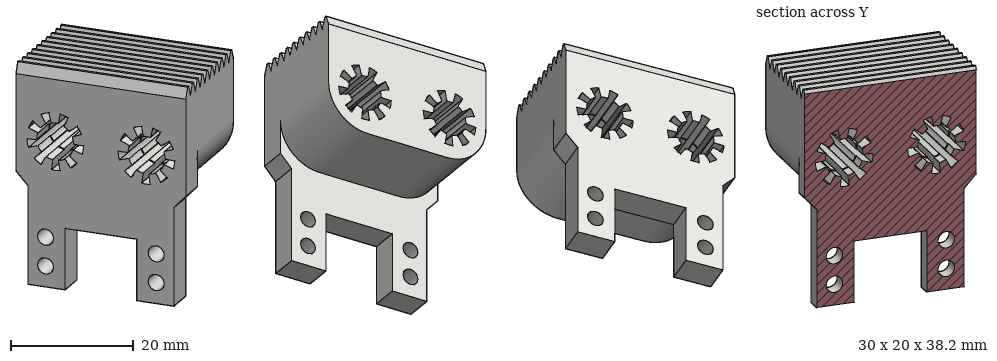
import cadquery as cq
import math

width = 30.0
depth = 20.0
height = 38.2

tooth_count = 10
tooth_pitch = depth / tooth_count
tooth_height = 1.85
tooth_crest = 0.5
rack_root_z = height - tooth_height

plate_thickness = 5.0
leg_span = 25.8
taper_top_z = 19.45
taper_bottom_z = 17.2
notch_width = 12.6
notch_height = 10.7

hole_diameter = 2.8
hole_spacing_x = 19.52
hole_rows_z = (3.65, 8.67)

axis_z = 25.55
edge_radius = width / 4

opening_spacing = 16.12
opening_radius = 5.0
opening_teeth = 9
opening_turn = math.radians(-1.3)
root_half_width = 1.0
shoulder_radius = 3.5
shoulder_half_width = 0.7
plate_tip_radius = 3.25
plate_tip_half_width = 0.57
block_tip_radius = 3.1
block_tip_half_width = 0.5


def extrude_back(sketch, length):
    """Extrude an XZ sketch from the front face toward +Y."""
    return sketch.extrude(-length)


def make_plate():
    half_notch = notch_width / 2
    half_legs = leg_span / 2
    half_width = width / 2
    right_side = [
        (half_notch, notch_height),
        (half_notch, 0),
        (half_legs, 0),
        (half_legs, taper_bottom_z),
        (half_width, taper_top_z),
        (half_width, rack_root_z),
    ]
    left_side = [(-x, z) for x, z in reversed(right_side)]
    return extrude_back(cq.Workplane("XZ").polyline(right_side + left_side).close(), plate_thickness)


def make_block():
    half_width = width / 2
    bottom_z = axis_z - edge_radius
    outline = (
        cq.Workplane("XZ")
        .moveTo(-half_width, rack_root_z)
        .lineTo(-half_width, axis_z)
        .radiusArc((edge_radius - half_width, bottom_z), -edge_radius)
        .lineTo(half_width - edge_radius, bottom_z)
        .radiusArc((half_width, axis_z), -edge_radius)
        .lineTo(half_width, rack_root_z)
        .close()
    )
    return extrude_back(outline, depth)


def make_rack():
    flank = (tooth_pitch - tooth_crest) / 2
    points = [(0, axis_z), (0, rack_root_z)]
    for i in range(tooth_count):
        start = i * tooth_pitch
        points.append((start + flank, height))
        points.append((start + flank + tooth_crest, height))
        points.append((start + tooth_pitch, rack_root_z))
    points.append((depth, axis_z))
    return cq.Workplane("YZ").polyline(points).close().extrude(width / 2, both=True)


def polar(radius, angle):
    """Point at an angle in radians measured clockwise from +Z."""
    return (radius * math.sin(angle), radius * math.cos(angle))


def opening_cutter(tooth_profile, turn, length):
    """Toothed prism; the profile lists (half width, radius) along a tooth from root to tip."""
    step = 2 * math.pi / opening_teeth
    flank = [(r, math.asin(w / r)) for w, r in tooth_profile]
    root_r, root_a = flank[0]
    tip_r, tip_a = flank[-1]
    outline = cq.Workplane("XZ").moveTo(*polar(root_r, turn - root_a))
    for i in range(opening_teeth):
        middle = turn + i * step
        for r, a in flank[1:]:
            outline = outline.lineTo(*polar(r, middle - a))
        outline = outline.threePointArc(polar(tip_r, middle), polar(tip_r, middle + tip_a))
        for r, a in reversed(flank[:-1]):
            outline = outline.lineTo(*polar(r, middle + a))
        slot_middle = polar(root_r, middle + step / 2)
        outline = outline.threePointArc(slot_middle, polar(root_r, middle + step - root_a))
    return extrude_back(outline.close(), length)


def make_opening(center_x, turn):
    """Cutter for one toothed opening; its teeth are shorter within the plate thickness."""
    flank = [(root_half_width, opening_radius), (shoulder_half_width, shoulder_radius)]
    plate_profile = flank + [(plate_tip_half_width, plate_tip_radius)]
    block_profile = plate_profile + [(block_tip_half_width, block_tip_radius)]
    cutter = opening_cutter(block_profile, turn, depth)
    cutter = cutter.union(opening_cutter(plate_profile, turn, plate_thickness))
    return cutter.translate((center_x, 0, axis_z))


def make_holes():
    centers = [(side * hole_spacing_x / 2, z) for side in (-1, 1) for z in hole_rows_z]
    sketch = cq.Workplane("XZ").pushPoints(centers).circle(hole_diameter / 2)
    return extrude_back(sketch, plate_thickness)


body = make_plate().union(make_block()).union(make_rack())
body = body.cut(make_holes())
for side in (-1, 1):
    body = body.cut(make_opening(side * opening_spacing / 2, -side * opening_turn))

result = body